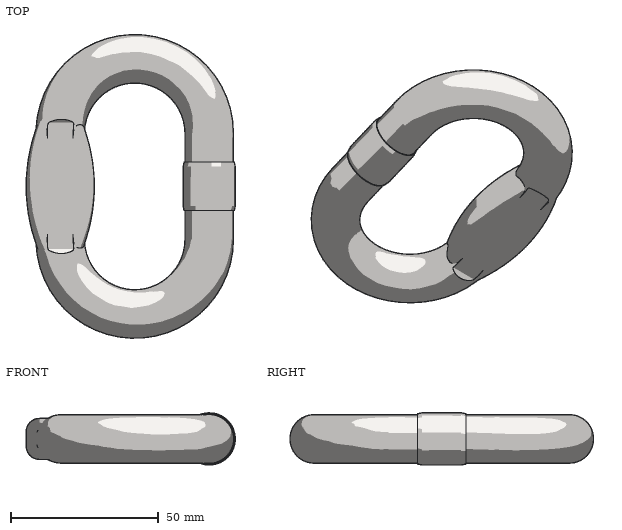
import cadquery as cq
import math

bar_diameter = 16.5
overall_length = 102.85
overall_width = 70.85
bend_radius = 25.2
bar_radius = bar_diameter / 2
half_straight = overall_length / 2 - bar_radius - bend_radius

collar_diameter = 17.74
collar_half_length = 8.2
collar_taper_length = 1.55
collar_end_diameter = 17.1
collar_radius = collar_diameter / 2

pad_thickness = 14.0
pad_half_width = overall_width - collar_radius - 2 * bend_radius
pad_arc_radius = 58.0
pad_half_length = 23.0
pad_edge_radius = 4.65
pad_half_thickness = pad_thickness / 2

flat_half_length = 20.9
ramp_angle = math.radians(45)
ramp_root_radius = 1.33
flat_cutter_height = 4.0


def make_link():
    """Round bar swept along two half-circles joined by two straights."""
    path = (
        cq.Workplane("XY")
        .moveTo(bend_radius, -half_straight)
        .lineTo(bend_radius, half_straight)
        .threePointArc((0, half_straight + bend_radius), (-bend_radius, half_straight))
        .lineTo(-bend_radius, -half_straight)
        .threePointArc((0, -half_straight - bend_radius), (bend_radius, -half_straight))
        .close()
    )
    start = cq.Workplane("XZ", origin=(bend_radius, -half_straight, 0))
    return start.circle(bar_radius).sweep(path)


def make_collar():
    """Sleeve turned about the axis of the +X straight."""
    barrel_half_length = collar_half_length - collar_taper_length
    end_radius = collar_end_diameter / 2
    profile = (
        cq.Workplane("XY", origin=(bend_radius, 0, 0))
        .moveTo(0, -collar_half_length)
        .lineTo(end_radius, -collar_half_length)
        .lineTo(collar_radius, -barrel_half_length)
        .lineTo(collar_radius, barrel_half_length)
        .lineTo(end_radius, collar_half_length)
        .lineTo(0, collar_half_length)
        .close()
    )
    return profile.revolve(360, (0, 0, 0), (0, 1, 0))


def make_pad():
    """Lens outline between two bowed sides; its ends lie inside the bar."""
    side_drop = pad_arc_radius - math.sqrt(pad_arc_radius**2 - pad_half_length**2)
    end_half_width = pad_half_width - side_drop
    outline = (
        cq.Workplane("XY", origin=(-bend_radius, 0, -pad_half_thickness))
        .moveTo(-end_half_width, -pad_half_length)
        .threePointArc((-pad_half_width, 0), (-end_half_width, pad_half_length))
        .lineTo(end_half_width, pad_half_length)
        .threePointArc((pad_half_width, 0), (end_half_width, -pad_half_length))
        .close()
    )
    pad = outline.extrude(pad_thickness)
    bowed_edges = pad.faces("<Z or >Z").edges("%CIRCLE")
    return bowed_edges.fillet(pad_edge_radius)


def make_flat_cutter():
    """Prism above the +Z flat: level floor, root arc, then a straight ramp at each end."""
    arc_run = ramp_root_radius * math.sin(ramp_angle)
    arc_rise = ramp_root_radius * (1 - math.cos(ramp_angle))
    middle_run = ramp_root_radius * math.sin(ramp_angle / 2)
    middle_rise = ramp_root_radius * (1 - math.cos(ramp_angle / 2))

    floor = pad_half_thickness
    ceiling = floor + flat_cutter_height
    arc_middle = (flat_half_length + middle_run, floor + middle_rise)
    arc_end = (flat_half_length + arc_run, floor + arc_rise)
    ramp_top = (arc_end[0] + (ceiling - arc_end[1]) / math.tan(ramp_angle), ceiling)

    profile = (
        cq.Workplane("YZ", origin=(-bend_radius, 0, 0))
        .moveTo(-flat_half_length, floor)
        .lineTo(flat_half_length, floor)
        .threePointArc(arc_middle, arc_end)
        .lineTo(*ramp_top)
        .lineTo(-ramp_top[0], ceiling)
        .lineTo(-arc_end[0], arc_end[1])
        .threePointArc((-arc_middle[0], arc_middle[1]), (-flat_half_length, floor))
        .close()
    )
    return profile.extrude(bar_radius, both=True)


upper_cutter = make_flat_cutter()
lower_cutter = upper_cutter.mirror("XY")

link = make_link().cut(upper_cutter).cut(lower_cutter)
result = link.union(make_pad()).union(make_collar()).clean()